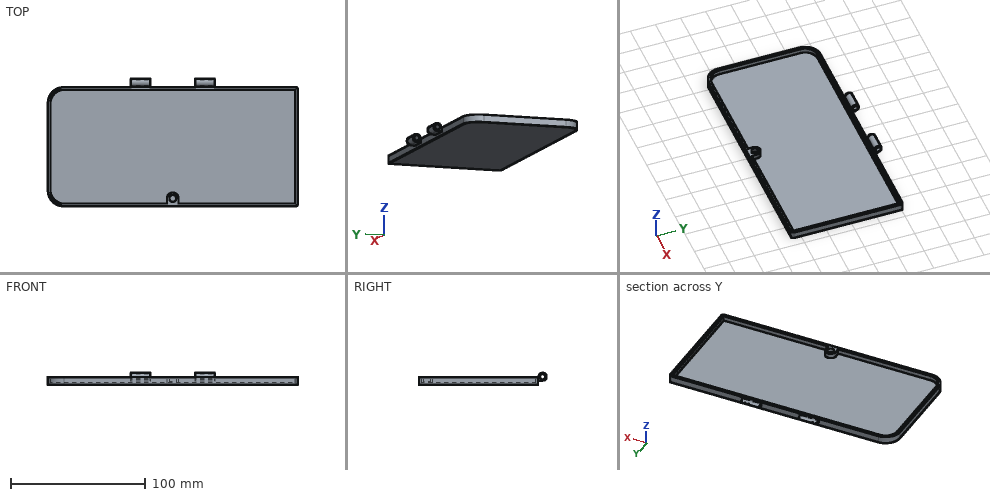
import cadquery as cq

length = 186.0
width = 88.7
height = 6.0
wall = 2.0
floor_thickness = 2.0
large_corner_radius = 12.0
small_corner_radius = 1.7
bottom_chamfer = 0.4

overall_width = 95.0
overall_height = 9.3
barrel_radius = 3.0
barrel_bore_radius = 2.0
barrel_length = 15.0
barrel_spacing = 47.8
barrel_end_chamfer = 0.5
barrel_y = overall_width - barrel_radius
barrel_z = overall_height - barrel_radius
web_bottom = 3.0
web_top = 4.8

boss_radius = 4.3
boss_hole_radius = 2.6
boss_hole_depth = 3.2
boss_y = 6.0


def make_block(inset, base_z, block_height, left_radius):
    """Rectangular block inset from the tray outline, rounded on its left corners."""
    block = cq.Workplane("XY").box(
        length - 2 * inset, width - 2 * inset, block_height, centered=False
    )
    block = block.edges("|Z and <X").fillet(left_radius)
    return block.translate((inset, inset, base_z))


def make_tray():
    """Shallow open tray with a chamfered underside and a latch boss."""
    shell = make_block(0, 0, height, large_corner_radius)
    shell = shell.edges("|Z and >X").fillet(small_corner_radius)
    shell = shell.faces("<Z").edges().chamfer(bottom_chamfer)
    cavity_depth = height - floor_thickness
    cavity = make_block(wall, floor_thickness, cavity_depth, large_corner_radius - wall)
    floor_plane = cq.Workplane("XY", origin=(length / 2, boss_y, floor_thickness))
    boss = floor_plane.circle(boss_radius).extrude(cavity_depth)
    neck = floor_plane.center(0, (wall - boss_y) / 2)
    neck = neck.rect(2 * boss_radius, boss_y - wall).extrude(cavity_depth)
    hole_plane = cq.Workplane("XY", origin=(length / 2, boss_y, height - boss_hole_depth))
    hole = hole_plane.circle(boss_hole_radius).extrude(boss_hole_depth)
    return shell.cut(cavity).union(boss).union(neck).cut(hole)


def make_hinge(center_x):
    """Bored barrel joined to the back wall by a tapered web."""
    start_x = center_x - barrel_length / 2
    end_plane = cq.Workplane("YZ", origin=(start_x, 0, 0))
    barrel = end_plane.center(barrel_y, barrel_z).circle(barrel_radius).extrude(barrel_length)
    barrel = barrel.edges().chamfer(barrel_end_chamfer)
    web = end_plane.polyline([
        (width - wall / 2, web_bottom),
        (width, web_bottom),
        (barrel_y, barrel_z - barrel_radius),
        (barrel_y, barrel_z),
        (width - wall / 2, web_top),
    ]).close().extrude(barrel_length)
    bore = end_plane.center(barrel_y, barrel_z).circle(barrel_bore_radius).extrude(barrel_length)
    return barrel.union(web).cut(bore)


result = make_tray()
for side in (-1, 1):
    result = result.union(make_hinge(length / 2 + side * barrel_spacing / 2))